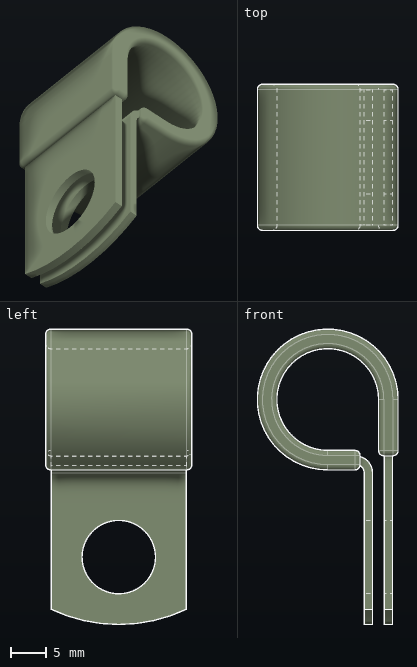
import cadquery as cq
import math


strap_thickness = 1.2
strap_width = 19.05
overall_height = 41.69

cushion_cover = 0.795
cushion_edge_radius = 0.75
cushion_outer_radius = 9.945
cushion_inner_radius = cushion_outer_radius - strap_thickness - 2 * cushion_cover
cushion_width = strap_width + 2 * cushion_cover
cushion_drop = 7.94
cushion_foot = 4.57

strap_outer_radius = cushion_outer_radius - cushion_cover
strap_inner_radius = cushion_inner_radius + cushion_cover

bend_start_x = 3.93
bend_inner_radius = strap_thickness
bend_outer_radius = bend_inner_radius + strap_thickness
bend_center_z = -strap_outer_radius - bend_inner_radius

tab_bottom_z = cushion_outer_radius - overall_height
tab_end_radius = 22.225
tab_hole_diameter = 10.32
tab_hole_z = tab_bottom_z + strap_width / 2

diagonal = math.sqrt(0.5)


def loop_outline(outer_radius, inner_radius, drop_z):
    """Start an outline at the foot of the +X leg and take it round the outside of the loop."""
    return (
        cq.Workplane("XZ")
        .moveTo(inner_radius, drop_z)
        .lineTo(outer_radius, drop_z)
        .lineTo(outer_radius, 0)
        .threePointArc((-outer_radius * diagonal, outer_radius * diagonal), (0, -outer_radius))
    )


def close_loop(outline, inner_radius):
    """Return along the inside of the loop to the +X leg and close the outline."""
    return (
        outline.lineTo(0, -inner_radius)
        .threePointArc((-inner_radius * diagonal, inner_radius * diagonal), (inner_radius, 0))
        .close()
    )


def make_cushion():
    """Cushion around the loop, rounded on both sides and on both end faces."""
    outline = (
        loop_outline(cushion_outer_radius, cushion_inner_radius, -cushion_drop)
        .lineTo(cushion_foot, -cushion_outer_radius)
        .lineTo(cushion_foot, -cushion_inner_radius)
    )
    cushion = close_loop(outline, cushion_inner_radius).extrude(cushion_width / 2, both=True)
    side_edges = cushion.faces("|Y").edges()
    foot_end = cq.selectors.BoxSelector(
        (cushion_foot - cushion_cover, -cushion_width, -cushion_outer_radius - cushion_cover),
        (cushion_foot + cushion_cover, cushion_width, -cushion_inner_radius + cushion_cover),
    )
    drop_end = cq.selectors.BoxSelector(
        (cushion_inner_radius - cushion_cover, -cushion_width, -cushion_drop - cushion_cover),
        (cushion_outer_radius + cushion_cover, cushion_width, -cushion_drop + cushion_cover),
    )
    end_edges = cushion.edges("|Y").edges(foot_end + drop_end)
    return side_edges.add(end_edges).fillet(cushion_edge_radius)


def make_strap():
    """Strap at constant width: loop, straight outer tab and bent inner tab, both with square ends."""
    bend_start = (bend_start_x, -strap_outer_radius)
    inner_bend_mid = (
        bend_start_x + bend_inner_radius * diagonal,
        bend_center_z + bend_inner_radius * diagonal,
    )
    outer_bend_mid = (
        bend_start_x + bend_outer_radius * diagonal,
        bend_center_z + bend_outer_radius * diagonal,
    )
    tab_inner_x = bend_start_x + bend_inner_radius
    tab_outer_x = bend_start_x + bend_outer_radius
    outline = (
        loop_outline(strap_outer_radius, strap_inner_radius, tab_bottom_z)
        .lineTo(*bend_start)
        .threePointArc(inner_bend_mid, (tab_inner_x, bend_center_z))
        .lineTo(tab_inner_x, tab_bottom_z)
        .lineTo(tab_outer_x, tab_bottom_z)
        .lineTo(tab_outer_x, bend_center_z)
        .threePointArc(outer_bend_mid, (bend_start_x, -strap_inner_radius))
    )
    return close_loop(outline, strap_inner_radius).extrude(strap_width / 2, both=True)


def make_tab_shape():
    """Block across both tabs and the loop: straight sides, a bowed bottom end and the bolt hole."""
    half_width = strap_width / 2
    bow_height = tab_end_radius - math.sqrt(tab_end_radius**2 - half_width**2)
    corner_z = tab_bottom_z + bow_height
    return (
        cq.Workplane("YZ")
        .moveTo(-half_width, cushion_outer_radius)
        .lineTo(-half_width, corner_z)
        .threePointArc((0, tab_bottom_z), (half_width, corner_z))
        .lineTo(half_width, cushion_outer_radius)
        .close()
        .moveTo(0, tab_hole_z)
        .circle(tab_hole_diameter / 2)
        .extrude(cushion_outer_radius, both=True)
    )


strap = make_strap().intersect(make_tab_shape())
result = make_cushion().union(strap)